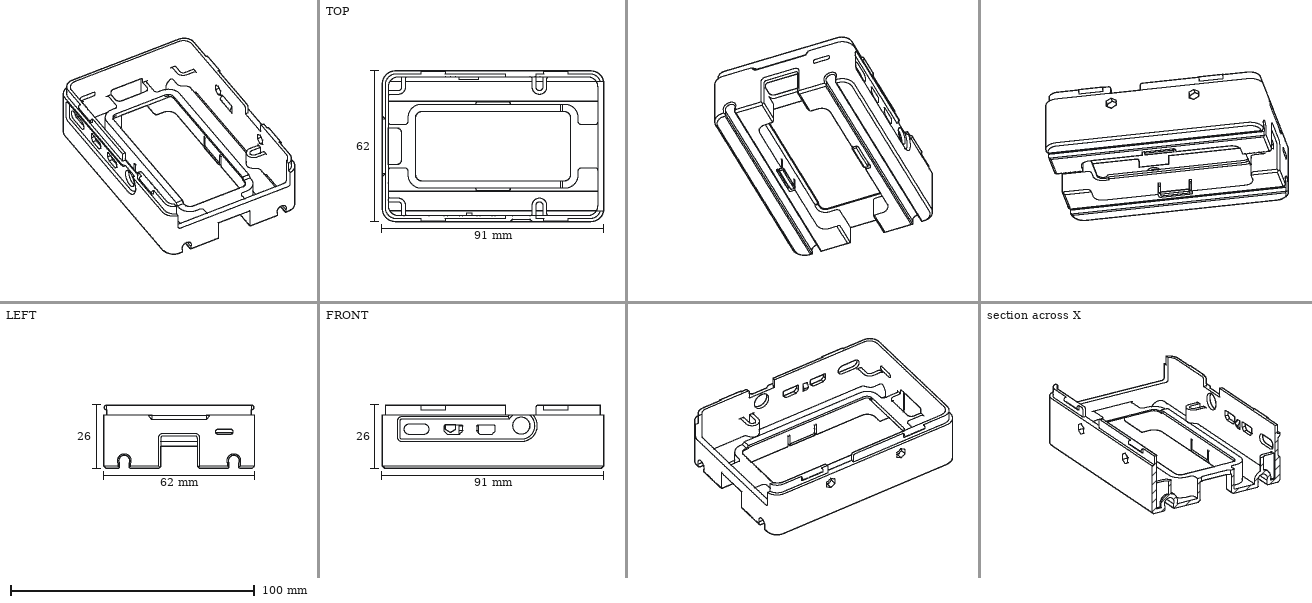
import cadquery as cq

length = 91.0
width = 62.0
height = 26.0
wall = 2.55
corner_radius = 5.5
lip_radius = 4.55
inner_radius = 4.0
bottom_chamfer = 1.0
floor = 2.0
body_top = 22.0

lip_inset = 1.3
lip_gap = (5.2, 17.6)
lip_gap_radius = 1.0

snap_centers = (-24.6, 25.75)
snap_length = 10.0
snap_radius = 1.0

rim_half_length = 34.85
rim_half_width = 17.2
rim_radius = 5.4
arm_half_width = 8.9
arm_fillet = 1.4
rim_wall = 1.5
rim_top = 11.0
low_rim_top = 10.0
rim_step_x = 27.6
rim_underside = 10.0
door_rim_underside = 9.0
low_rim_underside = 9.5
arm_edge_chamfer = 0.9
pod_corner_fillet = 0.9

opening_length = 63.5
opening_width = 28.4
opening_radius = 2.55

tube_y = 22.5
tube_z = 3.2
tube_radius = 4.1
bore_radius = 2.2
bore_slot_width = 4.0
bore_chamfer = 0.6
slot_edge_chamfer = 0.5

tab_half_width = 6.0
tab_slit = 1.0
tab_height = 5.5
tab_clearance = 1.0
tab_slot_radius = 0.7
catch_size = 0.55

post_x_corner = -38.95
post_x_free = 19.0
post_y = 24.3
post_radius = 3.0
post_bore_radius = 1.5
post_top = 13.2
post_fillet = 0.6

back_clip = (-14.0, -5.9)
front_clip = (-10.9, -8.7)
clip_z = 15.5
clip_depth = 1.0
clip_half_height = 1.9

panel_depth = 1.0
panel_left = -39.2
panel_top = 21.3
panel_radius = 1.8
jack_x = 11.6
jack_z = 17.6
jack_recess_radius = 6.55
jack_diameter = 7.0

port_bottom = 14.0
round_port_x = -31.4
round_port_width = 10.2
round_port_height = 4.2
round_port_radius = 2.0
video_port_centers = (-16.3, -2.9)
video_port_width = 7.55
video_port_height = 3.8
video_port_radius = 0.55
video_port_chamfer = 1.3

hex_centers = (-17.5, 17.1)
hex_z = 17.2
hex_radius = 2.4

door_half_width = arm_half_width - rim_wall
door_top = 13.4
door_radius = 0.9
door_chamfer = 1.0
notch_x = -37.6
notch_radius = 2.0
card_slot_y = -18.6
card_slot_width = 7.1
card_slot_bottom = 14.0
card_slot_height = 2.0
card_slot_radius = 0.8
grip_half_width = 11.2
grip_flare = 1.4
grip_depth = 1.3
grip_bottom = 20.0
grip_top = 21.7

cutout_half_width = 25.5
cutout_bottom = 14.7
cutout_radius = 1.0

half_length = length / 2
half_width = width / 2
panel_bottom = jack_z - jack_recess_radius
inner_half_length = half_length - wall
inner_half_width = half_width - wall
over = 1.8


def box_between(x_span, y_span, z_span):
    size = [abs(b - a) for a, b in (x_span, y_span, z_span)]
    start = [min(span) for span in (x_span, y_span, z_span)]
    return cq.Workplane("XY").box(*size, centered=False).translate(tuple(start))


def rounded_block(size_x, size_y, radius, bottom, top):
    block = cq.Workplane("XY").workplane(offset=bottom).rect(size_x, size_y).extrude(top - bottom)
    return block.edges("|Z").fillet(radius)


def inset_block(inset, radius, bottom, top):
    """Block with all sides moved inward by inset from the outer walls."""
    return rounded_block(length - 2 * inset, width - 2 * inset, radius, bottom, top)


def both_sides(solid):
    """The solid together with its mirror image across the XZ plane."""
    return solid.union(solid.mirror("XZ"))


def fillet_upright_edges(solid, points, radius):
    """Round the vertical edge nearest to each point."""
    for point in points:
        nearest = cq.selectors.NearestToPointSelector(point)
        solid = solid.edges("|Z").edges(nearest).fillet(radius)
    return solid


def four_points(x, y, z):
    return [(sx * x, sy * y, z) for sx in (-1, 1) for sy in (-1, 1)]


def end_wall_plane(x):
    """Sketch plane facing -X, with local axes along -Y and +Z."""
    return cq.Workplane(cq.Plane(origin=(x, 0, 0), xDir=(0, -1, 0), normal=(-1, 0, 0)))


def shell():
    body = inset_block(0, corner_radius, 0, body_top).faces("<Z").edges().chamfer(bottom_chamfer)
    return body.union(inset_block(lip_inset, lip_radius, body_top - over, height))


def snap_ridges():
    ridges = cq.Workplane("XY")
    for x in snap_centers:
        ridge = cq.Workplane("YZ").circle(snap_radius).extrude(snap_length / 2, both=True)
        ridge = ridge.translate((x, half_width - lip_inset, height - snap_radius))
        ridges = ridges.union(ridge)
    return both_sides(ridges)


def lip_gaps():
    start, end = lip_gap
    z_span = (body_top, height + over)
    y_span = (-half_width, -inner_half_width + over)
    corner = box_between((end, end + lip_gap_radius), y_span, (height - lip_gap_radius, height))
    round_part = (
        cq.Workplane("XZ")
        .center(end + lip_gap_radius, height - lip_gap_radius)
        .circle(lip_gap_radius)
        .extrude(width, both=True)
    )
    corner = corner.cut(round_part)
    gap = both_sides(box_between(lip_gap, y_span, z_span).union(corner))
    back_corner = corner.mirror("YZ").translate((start + end, 0, 0)).mirror("XZ")
    return gap.union(back_corner)


def rim_block(inset, bottom, top):
    """Rim plan shape moved inward by inset, with arms past both end walls."""
    block = rounded_block(
        2 * (rim_half_length - inset), 2 * (rim_half_width - inset), rim_radius - inset, bottom, top
    )
    arm = arm_half_width - inset
    end = half_length + over
    block = block.union(box_between((-end, end), (-arm, arm), (bottom, top)))
    corners = four_points(rim_half_length - inset, arm, (bottom + top) / 2)
    return fillet_upright_edges(block, corners, arm_fillet)


def interior():
    """Space inside the walls: two deep pods beside the rim, open above it."""
    pods = inset_block(wall, inner_radius, floor, rim_top).cut(rim_block(0, 0, rim_top + over))
    corners = four_points(inner_half_length, arm_half_width, (floor + rim_top) / 2)
    pods = fillet_upright_edges(pods, corners, pod_corner_fillet)
    step = rim_top - low_rim_top
    low_end = (
        cq.Workplane("XZ")
        .polyline([
            (rim_step_x, rim_top),
            (rim_step_x + step, low_rim_top),
            (half_length, low_rim_top),
            (half_length, rim_top),
        ])
        .close()
        .extrude(half_width, both=True)
        .intersect(inset_block(wall, inner_radius, floor, rim_top))
    )
    return inset_block(wall, inner_radius, rim_top, height + over).union(low_end).union(pods)


def underside():
    """Space below the rim, open at the bottom and through both end walls."""
    space = rim_block(rim_wall, -over, rim_underside)
    end = half_length + over
    y_span = (-half_width, half_width)
    space = space.cut(box_between((-end, -opening_length / 2), y_span, (door_rim_underside, rim_top)))
    space = space.cut(box_between((rim_step_x, end), y_span, (low_rim_underside, rim_top)))
    foot = door_half_width + arm_edge_chamfer
    flare = (
        cq.Workplane("YZ")
        .polyline([(-foot, 0), (foot, 0), (0, foot)])
        .close()
        .extrude(end - rim_half_length + rim_wall)
        .translate((rim_half_length - rim_wall, 0, 0))
    )
    return space.union(flare).union(flare.mirror("YZ"))


def tubes():
    tube = cq.Workplane("YZ").circle(tube_radius).extrude(inner_half_length + wall / 2, both=True)
    tube = tube.translate((0, tube_y, tube_z))
    above_base = box_between((-length, length), (0, width), (floor / 2, height))
    return both_sides(tube.intersect(above_base))


def tube_bores():
    """Keyhole channels: round bores with a narrower slot below, flared at -X."""

    def bore(workplane):
        return workplane.center(-tube_y, tube_z).circle(bore_radius)

    def slot(workplane):
        slot_height = tube_z + over
        return workplane.center(-tube_y, tube_z - slot_height / 2).rect(bore_slot_width, slot_height)

    far_end = end_wall_plane(half_length + over)
    mouth = end_wall_plane(bore_chamfer - half_length)
    reach = length + 2 * over
    cut = bore(far_end).extrude(reach).union(slot(far_end).extrude(reach))
    cut = cut.union(bore(mouth).extrude(bore_chamfer, taper=-45))
    cut = cut.union(slot(mouth).extrude(bore_chamfer, taper=-45))
    foot = bore_slot_width / 2 + slot_edge_chamfer
    edge_flare = (
        cq.Workplane("YZ")
        .polyline([(tube_y - foot, 0), (tube_y + foot, 0), (tube_y, foot)])
        .close()
        .extrude(half_length + over, both=True)
    )
    return both_sides(cut.union(edge_flare))


def tab_cuts():
    """U-shaped gap that frees a tab in the rim wall, with room behind it."""
    inner_y = rim_half_width - rim_wall
    slot_half = tab_half_width + tab_slit
    slot_y = rim_half_width + tab_clearance
    slot = box_between((-slot_half, slot_half), (inner_y - over, slot_y), (-over, tab_height))
    slot = slot.edges("|Z and >Y").fillet(tab_slot_radius)
    tab = box_between((-tab_half_width, tab_half_width), (0, rim_half_width), (-over, tab_height))
    roof_limit = box_between((-length, length), (rim_half_width, width), (floor, height))
    return both_sides(slot.cut(tab).cut(roof_limit))


def tab_catches():
    y = rim_half_width - rim_wall
    catch = (
        cq.Workplane("YZ")
        .polyline([(y, 0), (y - catch_size, catch_size), (y, 2 * catch_size)])
        .close()
        .extrude(tab_half_width, both=True)
    )
    return both_sides(catch)


def post_block(x, radius, at_corner):
    """Round post carried to the +Y wall, and to the -X wall for a corner post."""
    z_span = (floor / 2, post_top)
    block = cq.Workplane("XY").workplane(offset=z_span[0]).center(x, post_y).circle(radius)
    block = block.extrude(z_span[1] - z_span[0])
    block = block.union(box_between((x - radius, x + radius), (post_y, inner_half_width), z_span))
    if at_corner:
        side = box_between((-inner_half_length, x), (post_y - radius, inner_half_width), z_span)
        block = block.union(side)
    return block


def post(x, at_corner):
    z_span = (floor / 2, post_top)
    backing = wall / 2
    spread = post_radius + 2 * post_fillet
    wall_y = (inner_half_width, inner_half_width + backing)
    solid = post_block(x, post_radius, at_corner)
    right = x + spread
    left = -inner_half_length if at_corner else x - spread
    solid = solid.union(box_between((left, right), wall_y, z_span))
    corners = [(x + post_radius, inner_half_width, post_top / 2)]
    if at_corner:
        side_x = (-inner_half_length - backing, -inner_half_length)
        solid = solid.union(box_between(side_x, (post_y - spread, post_y), z_span))
        corners.append((-inner_half_length, post_y - post_radius, post_top / 2))
    else:
        corners.append((x - post_radius, inner_half_width, post_top / 2))
    solid = fillet_upright_edges(solid, corners, post_fillet)
    return solid.cut(post_block(x, post_bore_radius, at_corner))


def posts():
    return both_sides(post(post_x_corner, True).union(post(post_x_free, False)))


def clip(x_span):
    """Triangular clip on the +Y wall."""
    y = inner_half_width
    return (
        cq.Workplane("YZ")
        .polyline([
            (y, clip_z - clip_half_height),
            (y - clip_depth, clip_z),
            (y, clip_z + clip_half_height),
        ])
        .close()
        .extrude(x_span[1] - x_span[0])
        .translate((x_span[0], 0, 0))
    )


def clips():
    return clip(back_clip).union(clip(front_clip).mirror("XZ"))


def front_panel():
    """Recess with sloped sides and a round end that opens at the body top."""
    panel_height = panel_top - panel_bottom
    recess = (
        cq.Workplane("XZ")
        .center((panel_left + jack_x) / 2, panel_bottom + panel_height / 2)
        .rect(jack_x - panel_left, panel_height)
        .extrude(panel_depth + over)
    )
    recess = recess.edges("|Y and <X").fillet(panel_radius)
    disc = cq.Workplane("XZ").center(jack_x, jack_z).circle(jack_recess_radius)
    recess = recess.union(disc.extrude(panel_depth + over)).clean()
    recess = recess.faces(">Y").edges().chamfer(panel_depth)
    recess = recess.translate((0, panel_depth - half_width, 0))
    below_lip = box_between((-length, length), (-width, 0), (0, body_top))
    return recess.intersect(below_lip)


def port_block(x, port_width, port_height):
    port = cq.Workplane("XZ").center(x, port_bottom + port_height / 2)
    return port.rect(port_width, port_height).extrude(wall + over)


def front_holes():
    holes = cq.Workplane("XZ").center(jack_x, jack_z).circle(jack_diameter / 2).extrude(wall + over)
    round_port = port_block(round_port_x, round_port_width, round_port_height)
    holes = holes.union(round_port.edges("|Y").fillet(round_port_radius))
    for x in video_port_centers:
        port = port_block(x, video_port_width, video_port_height)
        port = port.edges("|Y and >Z").fillet(video_port_radius)
        holes = holes.union(port.edges("|Y and <Z").chamfer(video_port_chamfer))
    return holes.translate((0, -inner_half_width, 0))


def back_holes():
    holes = cq.Workplane("XY")
    for x in hex_centers:
        hexagon = cq.Workplane("XZ").polygon(6, 2 * hex_radius).extrude(-wall - over)
        point_up = hexagon.rotate((0, 0, 0), (0, 1, 0), 90)
        holes = holes.union(point_up.translate((x, inner_half_width, hex_z)))
    return holes


def door():
    """Doorway through the -X wall, flared outside, and the notch in the rim."""
    bottom = -over

    def outline(workplane, radius):
        return (
            workplane.moveTo(-door_half_width, bottom)
            .lineTo(-door_half_width, door_top - radius)
            .radiusArc((-door_half_width + radius, door_top), radius)
            .lineTo(door_half_width - radius, door_top)
            .radiusArc((door_half_width, door_top - radius), radius)
            .lineTo(door_half_width, bottom)
            .close()
        )

    passage = outline(end_wall_plane(-inner_half_length), door_radius).extrude(wall + over)
    flare = outline(end_wall_plane(door_chamfer - half_length), door_radius)
    flare = flare.extrude(door_chamfer, taper=-45)
    y_span = (-door_half_width, door_half_width)
    notch = box_between((-inner_half_length - wall / 2, notch_x), y_span, (bottom, door_top - door_radius))
    notch = notch.edges("|Z and >X").fillet(notch_radius)
    return passage.union(flare).union(notch)


def card_slot():
    slot = end_wall_plane(-inner_half_length + over)
    slot = slot.center(-card_slot_y, card_slot_bottom + card_slot_height / 2)
    slot = slot.rect(card_slot_width, card_slot_height).extrude(wall + 2 * over)
    return slot.edges("|X").fillet(card_slot_radius)


def finger_grip():
    """Sloped notch in the top outer edge of the -X wall, with flared ends."""
    outside = -half_length - grip_depth

    def section(inner_x):
        flare = grip_flare * (inner_x - outside) / grip_depth
        wide = grip_half_width + flare
        return [(inner_x, -grip_half_width), (outside, -wide), (outside, wide), (inner_x, grip_half_width)]

    deepest = -half_length + grip_depth
    grip = (
        cq.Workplane("XY")
        .workplane(offset=grip_bottom)
        .polyline(section(-half_length))
        .close()
        .workplane(offset=grip_top - grip_bottom)
        .polyline(section(deepest))
        .close()
        .loft(ruled=True)
    )
    upper = cq.Workplane("XY").workplane(offset=grip_top).polyline(section(deepest)).close()
    return grip.union(upper.extrude(body_top - grip_top))


def end_cutout():
    """Wide cut that lowers the +X wall, with rounded lower corners."""
    top_half_width = cutout_half_width + cutout_radius
    y_span = (-top_half_width, top_half_width)
    x_span = (inner_half_length - over, half_length + over)
    cut = box_between(x_span, y_span, (cutout_bottom, height + over))
    return cut.edges("|X and <Z").fillet(cutout_radius)


central_opening = rounded_block(opening_length, opening_width, opening_radius, -over, rim_top + over)

result = shell().union(snap_ridges()).cut(interior()).union(tubes()).union(posts()).union(clips())
result = result.cut(underside()).cut(central_opening)
result = result.cut(tab_cuts()).union(tab_catches()).cut(tube_bores())
result = result.cut(lip_gaps()).cut(front_panel()).cut(front_holes()).cut(back_holes())
result = result.cut(door()).cut(card_slot()).cut(finger_grip()).cut(end_cutout())